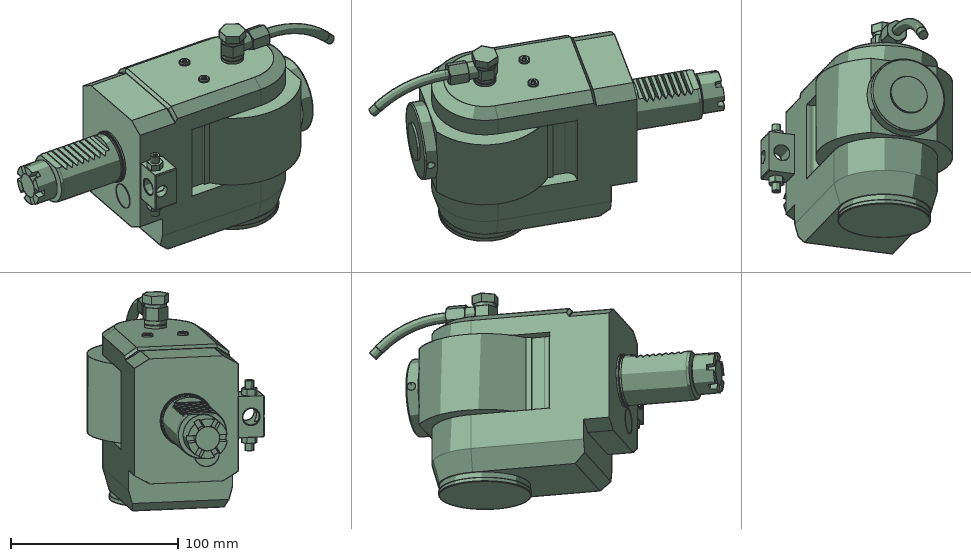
import cadquery as cq
import math


clearance = 2.2

half_width = 31.9
head_top = 40.0
head_bevel_width, head_bevel_height = 7.2, 4.8
draft_start, head_bottom = -45.0, -58.7
draft_inset = 4.0
step_y = -60.9
top_step_chamfer = 1.7
lower_front_y = -70.0
lower_chamfer_length, lower_chamfer_height = 6.3, 5.9
front_y = -85.8
block_half_height = 38.1
block_bevel_width, block_bevel_height = 9.3, 5.5

disc_radius, disc_half_height = 41.0, 23.8
disc_rear_y = 35.0
pocket_shallow_x, pocket_deep_x = 25.1, 23.6
pocket_step_y, pocket_front_y = -35.8, -49.0
pocket_end_radius = 5.5

flange_radius, flange_rear_y, flange_chamfer = 23.5, 43.0, 0.9
boss_radius, boss_rear_y = 11.5, 44.5
flange_hole_radius, flange_hole_depth = 2.5, 2.5
flange_hole_y = 39.2

ring_radius, ring_bottom, ring_lip = 27.7, -64.8, 2.5
ring_chamfer = 0.5

collar_radius, collar_front_y, collar_chamfer = 16.0, -87.3, 0.5
lead_length, lead_radius = 1.3, 14.7
shank_radius, shank_front_y, shank_chamfer = 15.2, -130.7, 1.7
shank_chamfer_inset = 0.5
flat_z, flat_start_y = 12.1, -93.0
tooth_count, tooth_pitch, tooth_first_y = 8, 4.0, -97.3
tooth_width, tooth_depth = 3.5, 1.7

neck_radius, neck_front_y = 9.3, -132.0
nut_radius, nut_front_y = 12.1, -145.0
slot_count, slot_depth = 6, 4.1
slot_mouth_width, slot_floor_width = 4.1, 3.3
core_radius, core_front_y = 7.4, -145.2

plug_x, plug_z = 12.5, -21.5
plug_radius, plug_recess = 7.5, 0.5

port_radius, port_top = 6.7, 54.8
port_groove_z, port_groove_height, port_groove_depth = 41.8, 0.5, 0.2
body_hex_flats, body_hex_bottom, body_hex_top = 13.7, 44.9, 52.7
cap_hex_flats, cap_top = 13.9, 60.0
outlet_z, outlet_radius = 49.0, 5.2
hose_nut_flats, hose_nut_start_y, hose_nut_end_y = 12.0, 11.0, 22.8
hose_nut_chamfer = 0.7
hose_radius, hose_start_y = 3.0, 24.7
hose_bend_radius, hose_bend_angle = 59.2, 44
tip_radius, tip_length = 2.8, 5.2

cover_screw_x, cover_screw_y = 10.8, -27.0
cover_screw_radius, cover_screw_height, cover_screw_chamfer = 3.3, 1.5, 0.7
cover_socket_flats, cover_socket_depth = 2.5, 1.0

side_x, side_half_height, side_chamfer = 48.0, 12.5, 0.7
side_rear_y, side_front_y = -70.2, -85.2
side_axis_x, side_hole_radius, side_hole_chamfer = 39.9, 5.0, 0.5
side_screw_y = -80.2
cross_bore_y, cross_bore_radius = -80.8, 4.0
side_nut_corners, side_nut_height = 9.5, 4.0
side_screw_radius, side_screw_end = 2.5, 21.2
side_socket_flats, side_socket_depth = 2.4, 1.3


def across_corners(flats):
    """Corner distance of a hexagon with the given distance across flats."""
    return flats / math.cos(math.pi / 6)


def y_cylinder(radius, start_y, end_y, x=0, z=0):
    """Cylinder along Y between two Y positions."""
    plane = cq.Plane(origin=(x, start_y, z), xDir=(1, 0, 0), normal=(0, 1, 0))
    return cq.Workplane(plane).circle(radius).extrude(end_y - start_y)


def z_cylinder(radius, bottom, top, x=0, y=0):
    """Cylinder along Z between two heights."""
    return cq.Workplane(origin=(x, y, bottom)).circle(radius).extrude(top - bottom)


def block(x_range, y_range, z_range):
    """Box between two limits on each axis."""
    size = [high - low for low, high in (x_range, y_range, z_range)]
    corner = (x_range[0], y_range[0], z_range[0])
    return cq.Workplane().box(*size, centered=False).translate(corner)


def xz_prism(points, start_y, end_y):
    """Half outline mirrored about X = 0, extruded toward -Y."""
    mirrored = [(-x, z) for x, z in reversed(points)]
    sketch = cq.Workplane("XZ", origin=(0, start_y, 0)).polyline(points + mirrored)
    return sketch.close().extrude(start_y - end_y)


def make_housing():
    upper = [
        (half_width, 0),
        (half_width, head_top - head_bevel_height),
        (half_width - head_bevel_width, head_top),
    ]
    lower = [(half_width - draft_inset, head_bottom), (half_width, draft_start)]

    outline = [(0, head_bottom)] + lower + upper[1:] + [(0, head_top)]
    housing = cq.Workplane("XZ").polyline(outline).close().revolve(360, (0, 0), (0, 1))

    top_prism = xz_prism(upper, 0, step_y)
    bevelled_edges = cq.selectors.BoxSelector(
        (-half_width, step_y - clearance, head_top - head_bevel_height),
        (half_width, step_y + clearance, head_top + clearance),
    )
    top_prism = top_prism.edges(bevelled_edges).chamfer(top_step_chamfer)

    bottom_prism = xz_prism(lower + [(half_width, 0)], 0, lower_front_y)
    front_chamfer = (
        cq.Workplane("YZ", origin=(-half_width, 0, 0))
        .moveTo(lower_front_y, head_bottom)
        .lineTo(lower_front_y + lower_chamfer_length, head_bottom)
        .lineTo(lower_front_y, head_bottom + lower_chamfer_height)
        .close()
        .extrude(2 * half_width)
    )

    bevel_x = half_width - block_bevel_width
    bevel_z = block_half_height - block_bevel_height
    octagon = [
        (bevel_x, -block_half_height),
        (half_width, -bevel_z),
        (half_width, bevel_z),
        (bevel_x, block_half_height),
    ]
    front_block = xz_prism(octagon, step_y, front_y)
    return housing.union(top_prism).union(bottom_prism.cut(front_chamfer)).union(front_block)


def make_pocket(side):
    """Side pocket with a stepped floor; side is +1 or -1 along X."""
    z_range = (-disc_half_height, disc_half_height)
    shallow = block((pocket_shallow_x, half_width), (pocket_step_y, 0), z_range)
    deep = block((pocket_deep_x, half_width), (pocket_front_y, pocket_step_y), z_range)
    deep = deep.edges("|Z and <X and <Y").fillet(pocket_end_radius)
    pocket = shallow.union(deep)
    return pocket if side > 0 else pocket.mirror("YZ")


def make_disc():
    disc = z_cylinder(disc_radius, -disc_half_height, disc_half_height)
    behind = block(
        (-disc_radius, disc_radius),
        (disc_rear_y, disc_radius + clearance),
        (-disc_half_height, disc_half_height),
    )
    return disc.cut(behind)


def make_flange():
    flange = y_cylinder(flange_radius, disc_rear_y, flange_rear_y)
    flange = flange.faces(">Y").chamfer(flange_chamfer)
    cone = cq.Solid.makeCone(
        flange_hole_radius,
        0,
        flange_hole_depth,
        pnt=cq.Vector(-flange_radius, flange_hole_y, 0),
        dir=cq.Vector(1, 0, 0),
    )
    boss = y_cylinder(boss_radius, flange_rear_y, boss_rear_y)
    return flange.cut(cq.Workplane(cone)).union(boss)


def make_ring():
    upper = z_cylinder(ring_radius - ring_chamfer, ring_bottom + ring_lip, head_bottom)
    lip = z_cylinder(ring_radius, ring_bottom, ring_bottom + ring_lip)
    return upper.union(lip.faces("<Z").chamfer(ring_chamfer))


def make_shank():
    shank = y_cylinder(shank_radius, collar_front_y, shank_front_y)
    shank = shank.faces(">Y").chamfer(lead_length, shank_radius - lead_radius)
    shank = shank.faces("<Y").chamfer(shank_chamfer, shank_chamfer_inset)
    flat = block(
        (-shank_radius, shank_radius),
        (shank_front_y, flat_start_y),
        (flat_z, shank_radius),
    )
    shank = shank.cut(flat)
    for index in range(tooth_count):
        valley_y = tooth_first_y - index * tooth_pitch
        groove = (
            cq.Workplane("YZ", origin=(-shank_radius, 0, 0))
            .moveTo(valley_y - tooth_width / 2, flat_z)
            .lineTo(valley_y, flat_z - tooth_depth)
            .lineTo(valley_y + tooth_width / 2, flat_z)
            .close()
            .extrude(2 * shank_radius)
        )
        shank = shank.cut(groove)
    collar = y_cylinder(collar_radius, front_y, collar_front_y)
    return shank.union(collar.faces("<Y").chamfer(collar_chamfer))


def make_collet_nut():
    nut = y_cylinder(nut_radius, neck_front_y, nut_front_y)
    slot = (
        cq.Workplane("YZ")
        .moveTo(nut_front_y, -slot_mouth_width / 2)
        .lineTo(nut_front_y + slot_depth, -slot_floor_width / 2)
        .lineTo(nut_front_y + slot_depth, slot_floor_width / 2)
        .lineTo(nut_front_y, slot_mouth_width / 2)
        .close()
        .extrude(nut_radius + clearance)
    )
    for index in range(slot_count):
        nut = nut.cut(slot.rotate((0, 0, 0), (0, 1, 0), index * 360 / slot_count))
    nut = nut.union(y_cylinder(neck_radius, shank_front_y, neck_front_y))
    return nut.union(y_cylinder(core_radius, neck_front_y, core_front_y))


def make_hose():
    """Hose leaving toward +Y and bending down, with a thinner end piece."""
    angle = math.radians(hose_bend_angle)

    def bend_point(turn):
        y = hose_start_y + hose_bend_radius * math.sin(turn)
        z = outlet_z - hose_bend_radius * (1 - math.cos(turn))
        return y, z

    bend_end = bend_point(angle)
    path = (
        cq.Workplane("YZ")
        .moveTo(hose_start_y, outlet_z)
        .threePointArc(bend_point(angle / 2), bend_end)
    )
    start = cq.Plane(origin=(0, hose_start_y, outlet_z), xDir=(1, 0, 0), normal=(0, 1, 0))
    bend = cq.Workplane(start).circle(hose_radius).sweep(path)
    tip_plane = cq.Plane(
        origin=(0, *bend_end),
        xDir=(1, 0, 0),
        normal=(0, math.cos(angle), -math.sin(angle)),
    )
    tip = cq.Workplane(tip_plane).circle(tip_radius).extrude(tip_length)
    straight = y_cylinder(hose_radius, hose_nut_end_y, hose_start_y, z=outlet_z)
    return straight.union(bend).union(tip)


def make_fitting():
    post = z_cylinder(port_radius, head_top, port_top)
    groove = (
        cq.Workplane(origin=(0, 0, port_groove_z))
        .circle(port_radius)
        .circle(port_radius - port_groove_depth)
        .extrude(port_groove_height)
    )
    body_hex = (
        cq.Workplane(origin=(0, 0, body_hex_bottom))
        .polygon(6, across_corners(body_hex_flats))
        .extrude(body_hex_top - body_hex_bottom)
        .rotate((0, 0, 0), (0, 0, 1), 30)
    )
    cap = (
        cq.Workplane(origin=(0, 0, port_top))
        .polygon(6, across_corners(cap_hex_flats))
        .extrude(cap_top - port_top)
    )
    outlet = y_cylinder(outlet_radius, 0, hose_nut_start_y, z=outlet_z)

    nut_corners = across_corners(hose_nut_flats)
    nut_plane = cq.Plane(origin=(0, hose_nut_start_y, outlet_z), xDir=(0, 0, 1), normal=(0, 1, 0))
    hose_nut = (
        cq.Workplane(nut_plane)
        .polygon(6, nut_corners)
        .extrude(hose_nut_end_y - hose_nut_start_y)
    )
    envelope = y_cylinder(nut_corners / 2, hose_nut_start_y, hose_nut_end_y, z=outlet_z)
    hose_nut = hose_nut.intersect(envelope.faces("<Y or >Y").chamfer(hose_nut_chamfer))

    fitting = post.cut(groove).union(body_hex).union(cap)
    return fitting.union(outlet).union(hose_nut).union(make_hose())


def make_cover_screw(x):
    top = head_top + cover_screw_height
    screw = z_cylinder(cover_screw_radius, head_top, top, x, cover_screw_y)
    screw = screw.faces(">Z").chamfer(cover_screw_chamfer)
    socket = (
        cq.Workplane(origin=(x, cover_screw_y, top - cover_socket_depth))
        .polygon(6, across_corners(cover_socket_flats))
        .extrude(cover_socket_depth)
    )
    return screw.cut(socket)


def make_side_screw():
    """Upper screw of the side block with its lock nut."""
    axis = (side_axis_x, side_screw_y)
    nut = (
        cq.Workplane(origin=(*axis, side_half_height))
        .polygon(6, side_nut_corners)
        .extrude(side_nut_height)
    )
    stud = z_cylinder(side_screw_radius, side_half_height, side_screw_end, *axis)
    socket = (
        cq.Workplane(origin=(*axis, side_screw_end - side_socket_depth))
        .polygon(6, across_corners(side_socket_flats))
        .extrude(side_socket_depth)
    )
    return nut.union(stud).cut(socket)


def make_side_block():
    side = block(
        (half_width, side_x),
        (side_front_y, side_rear_y),
        (-side_half_height, side_half_height),
    )
    side = side.edges("|Y and >X").chamfer(side_chamfer)
    side = side.edges("|Z and >X and <Y").chamfer(side_chamfer)
    side = side.cut(y_cylinder(side_hole_radius, side_front_y, side_rear_y, x=side_axis_x))
    side = side.faces("<Y").edges("%CIRCLE").chamfer(side_hole_chamfer)
    cross_bore = (
        cq.Workplane("YZ", origin=(side_axis_x, cross_bore_y, 0))
        .circle(cross_bore_radius)
        .extrude(side_x - side_axis_x)
    )
    side = side.cut(cross_bore)
    screw = make_side_screw()
    return side.union(screw).union(screw.mirror("XY"))


result = make_housing()
for pocket_side in (1, -1):
    result = result.cut(make_pocket(pocket_side))
result = result.cut(y_cylinder(plug_radius, front_y, front_y + plug_recess, plug_x, plug_z))

attachments = [
    make_disc(),
    make_flange(),
    make_ring(),
    make_shank(),
    make_collet_nut(),
    make_fitting(),
    make_cover_screw(cover_screw_x),
    make_cover_screw(-cover_screw_x),
    make_side_block(),
]
for attachment in attachments:
    result = result.union(attachment)